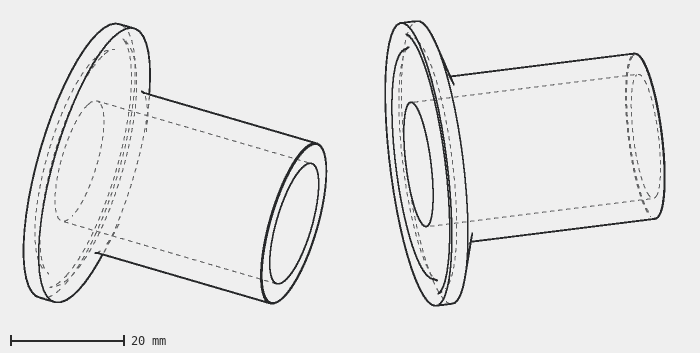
import cadquery as cq
import math

length = 41.25
flange_radius = 25.2
flange_rim = 2.9
bore_radius = 22.1 / 2
tube_radius = 29.5 / 2
end_chamfer = 0.15

back_angle = math.radians(20)
neck_fillet = 1.7

groove_center_radius = 21.8
groove_depth = 1.6
floor_radius = 1.2
wall_angle = math.radians(20)
lip_radius = 0.55


def ferrule_body():
    """Flange, tapered back, filleted neck and tube as one revolved outline."""
    corner_x = flange_rim + (flange_radius - tube_radius) * math.tan(back_angle)
    turn = math.pi / 2 - back_angle
    tangent = neck_fillet * math.tan(turn / 2)
    fillet_end_x = corner_x + tangent
    fillet_center_radius = tube_radius + neck_fillet

    fillet_start = (
        corner_x - tangent * math.sin(back_angle),
        tube_radius + tangent * math.cos(back_angle),
    )
    fillet_middle = (
        fillet_end_x - neck_fillet * math.sin(turn / 2),
        fillet_center_radius - neck_fillet * math.cos(turn / 2),
    )
    return (
        cq.Workplane("XY")
        .moveTo(0, bore_radius)
        .lineTo(0, flange_radius)
        .lineTo(flange_rim, flange_radius)
        .lineTo(*fillet_start)
        .threePointArc(fillet_middle, (fillet_end_x, tube_radius))
        .lineTo(length - end_chamfer, tube_radius)
        .lineTo(length, tube_radius - end_chamfer)
        .lineTo(length, bore_radius)
        .close()
        .revolve(360, (0, 0, 0), (1, 0, 0))
    )


def gasket_groove():
    """Ring of material removed from the sealing face."""
    floor_center_depth = groove_depth - floor_radius
    wall_foot_depth = floor_center_depth + floor_radius * math.sin(wall_angle)
    wall_foot_offset = floor_radius * math.cos(wall_angle)

    mouth_offset = wall_foot_offset + wall_foot_depth * math.tan(wall_angle)
    lip_turn = math.pi / 2 - wall_angle
    tangent = lip_radius * math.tan(lip_turn / 2)
    lip_edge_offset = mouth_offset + tangent
    wall_top_depth = tangent * math.cos(wall_angle)
    wall_top_offset = mouth_offset - tangent * math.sin(wall_angle)
    lip_middle_depth = lip_radius * (1 - math.cos(lip_turn / 2))
    lip_middle_offset = lip_edge_offset - lip_radius * math.sin(lip_turn / 2)

    def outer(depth, offset):
        return depth, groove_center_radius + offset

    def inner(depth, offset):
        return depth, groove_center_radius - offset

    return (
        cq.Workplane("XY")
        .moveTo(*outer(0, lip_edge_offset))
        .threePointArc(
            outer(lip_middle_depth, lip_middle_offset),
            outer(wall_top_depth, wall_top_offset),
        )
        .lineTo(*outer(wall_foot_depth, wall_foot_offset))
        .threePointArc(
            (groove_depth, groove_center_radius),
            inner(wall_foot_depth, wall_foot_offset),
        )
        .lineTo(*inner(wall_top_depth, wall_top_offset))
        .threePointArc(
            inner(lip_middle_depth, lip_middle_offset),
            inner(0, lip_edge_offset),
        )
        .close()
        .revolve(360, (0, 0, 0), (1, 0, 0))
    )


result = ferrule_body().cut(gasket_groove())